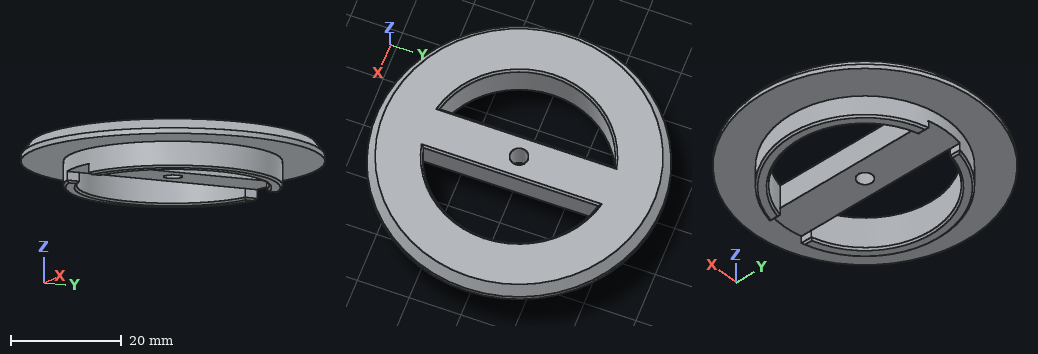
import cadquery as cq

flange_diameter = 55.0
flange_thickness = 3.0
rim_slope_width = 1.5
rim_slope_height = 2.0

spigot_diameter = 39.6
spigot_height = 4.8

opening_diameter = 34.8
bar_width = 8.4
bar_hole_diameter = 3.4
notch_height = 2.0

edge_chamfer = 0.4

total_height = spigot_height + flange_thickness


def make_body():
    """Flange and spigot, revolved about Z with the spigot end at Z = 0."""
    flange_radius = flange_diameter / 2
    spigot_radius = spigot_diameter / 2
    half_section = (
        cq.Workplane("XZ")
        .lineTo(spigot_radius, 0)
        .lineTo(spigot_radius, spigot_height)
        .lineTo(flange_radius, spigot_height)
        .lineTo(flange_radius, total_height - rim_slope_height)
        .lineTo(flange_radius - rim_slope_width, total_height)
        .lineTo(0, total_height)
        .close()
    )
    return half_section.revolve(360, (0, 0, 0), (0, 1, 0))


def make_bar_strip(height):
    """Block of the bar's width, along Y across the whole part, from Z = 0."""
    return cq.Workplane("XY").rect(bar_width, flange_diameter).extrude(height)


def cut_windows(body):
    """Cut the opening on both sides of the bar and chamfer its top edges."""
    disc = cq.Workplane("XY").circle(opening_diameter / 2).extrude(total_height)
    windows = disc.cut(make_bar_strip(total_height))
    opened = body.cut(windows)
    top_face = opened.faces(">Z").val()
    window_edges = [edge for wire in top_face.innerWires() for edge in wire.Edges()]
    return opened.newObject(window_edges).chamfer(edge_chamfer)


def cut_notch(body):
    """Cut the notch under the bar, leaving two end faces with chamfered edges."""
    notched = body.cut(make_bar_strip(notch_height))
    return notched.faces("<Z").edges().chamfer(edge_chamfer)


def drill_bar(body):
    """Drill the central hole through the bar."""
    hole = cq.Workplane("XY").circle(bar_hole_diameter / 2).extrude(total_height)
    return body.cut(hole)


body = make_body()
body = cut_windows(body)
body = cut_notch(body)
result = drill_bar(body)